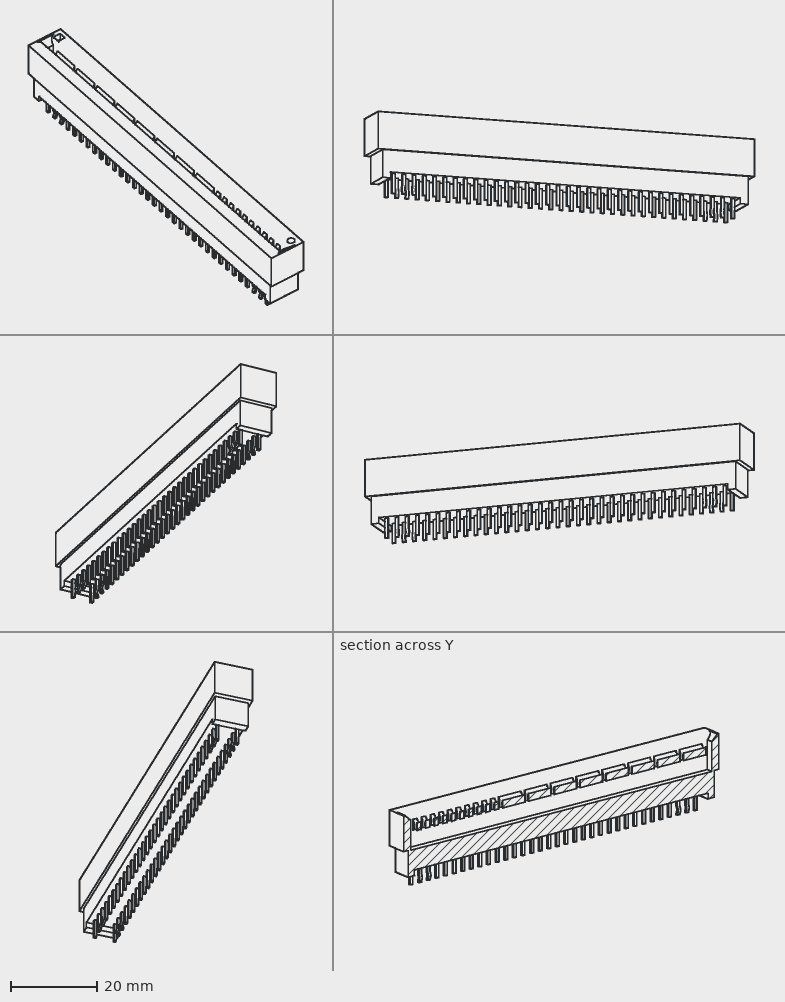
import cadquery as cq
import math

BODY_LENGTH = 93.0
BODY_WIDTH = 9.4
TOTAL_HEIGHT = 18.7
BLOCK_LENGTH = 90.4
BLOCK_WIDTH = 8.2
SHOULDER_Z = 9.9
FOOT_Z = 3.3
BLOCK_BASE_Z = 4.65
FOOT_LENGTH = 1.95

SLOT_LENGTH = 88.7
SLOT_WIDTH = 1.9
MOUTH_FLARE = 1.5
MOUTH_LENGTH = 92.0
SLOT_FLOOR_Z = SHOULDER_Z

SQUARE_KEY_SIZE = 1.9
ROUND_KEY_DIAMETER = 1.8
KEY_X = 44.3
KEY_Y = 2.7
KEY_DEPTH = 1.9

PINS_PER_ROW = 34
ROW_LENGTH = 83.85
PIN_PITCH = ROW_LENGTH / (PINS_PER_ROW - 1)
PIN_WIDTH = 0.7
PIN_THICKNESS = 0.6
ROW_OFFSET = 2.4
PIN_EMBED = 0.9
KINKED_PINS = (1, 2, PINS_PER_ROW - 3, PINS_PER_ROW - 2)
KINK_TOP_Z = 2.1
KINK_BOTTOM_Z = 0.2
KINK_SHIFT = 0.4
BEND_RADIUS = 0.7

GROUP_SIZE = 3
GROUP_COUNT = 8
CONTACT_WIDTH = 1.2
WIDE_CONTACT_WIDTH = 6.6
CONTACT_GAP = 0.7
CONTACT_RADIUS = 1.9
CONTACT_DROP = 0.65


def block(length, width, bottom, top, x=0, y=0):
    """Upright box centred on (x, y)."""
    height = top - bottom
    return cq.Workplane("XY").box(length, width, height, (True, True, False)).translate((x, y, bottom))


def pin_x(index):
    return index * PIN_PITCH - ROW_LENGTH / 2


def housing():
    body = block(BODY_LENGTH, BODY_WIDTH, SHOULDER_Z, TOTAL_HEIGHT)
    lower = block(BLOCK_LENGTH, BLOCK_WIDTH, FOOT_Z, SHOULDER_Z)
    foot_gap = block(BLOCK_LENGTH - 2 * FOOT_LENGTH, BLOCK_WIDTH, FOOT_Z, BLOCK_BASE_Z)
    return body.union(lower).cut(foot_gap)


def slot_mouth():
    """Flare whose long sides are rounded and whose ends are sloped."""
    half_slot = SLOT_WIDTH / 2
    half_mouth = half_slot + MOUTH_FLARE
    lip_z = TOTAL_HEIGHT - MOUTH_FLARE
    on_arc = MOUTH_FLARE * (1 - math.sqrt(0.5))
    rounded = (
        cq.Workplane("YZ")
        .moveTo(-half_slot, lip_z)
        .lineTo(half_slot, lip_z)
        .threePointArc((half_slot + on_arc, TOTAL_HEIGHT - on_arc), (half_mouth, TOTAL_HEIGHT))
        .lineTo(-half_mouth, TOTAL_HEIGHT)
        .threePointArc((-half_slot - on_arc, TOTAL_HEIGHT - on_arc), (-half_slot, lip_z))
        .close()
        .extrude(MOUTH_LENGTH / 2, both=True)
    )
    sloped = (
        cq.Workplane("XZ")
        .polyline([
            (-SLOT_LENGTH / 2, lip_z),
            (SLOT_LENGTH / 2, lip_z),
            (MOUTH_LENGTH / 2, TOTAL_HEIGHT),
            (-MOUTH_LENGTH / 2, TOTAL_HEIGHT),
        ])
        .close()
        .extrude(half_mouth, both=True)
    )
    return rounded.intersect(sloped)


def key_recesses():
    floor_z = TOTAL_HEIGHT - KEY_DEPTH
    square = block(SQUARE_KEY_SIZE, SQUARE_KEY_SIZE, floor_z, TOTAL_HEIGHT, -KEY_X, KEY_Y)
    round_hole = (
        cq.Workplane("XY")
        .circle(ROUND_KEY_DIAMETER / 2)
        .extrude(KEY_DEPTH)
        .translate((KEY_X, KEY_Y, floor_z))
    )
    return square.union(round_hole)


def contact_pair(x, width):
    """Facing pair of contacts, each a circular bulge out of its slot wall."""
    wall = SLOT_WIDTH / 2
    crest = CONTACT_GAP / 2
    bulge = wall - crest
    half_height = math.sqrt(CONTACT_RADIUS**2 - (CONTACT_RADIUS - bulge) ** 2)
    top_z = TOTAL_HEIGHT - MOUTH_FLARE - CONTACT_DROP
    bottom_z = top_z - 2 * half_height
    one_side = (
        cq.Workplane("YZ")
        .moveTo(wall, bottom_z)
        .threePointArc((crest, top_z - half_height), (wall, top_z))
        .close()
        .extrude(width / 2, both=True)
        .translate((x, 0, 0))
    )
    return [one_side.val(), one_side.mirror("XZ").val()]


def contacts():
    shapes = []
    for group in range(GROUP_COUNT):
        middle_pin = group * GROUP_SIZE + GROUP_SIZE // 2
        shapes += contact_pair(pin_x(middle_pin), WIDE_CONTACT_WIDTH)
    for index in range(GROUP_COUNT * GROUP_SIZE, PINS_PER_ROW):
        shapes += contact_pair(pin_x(index), CONTACT_WIDTH)
    return shapes


def straight_pin():
    return block(PIN_WIDTH, PIN_THICKNESS, 0, BLOCK_BASE_Z + PIN_EMBED, 0, ROW_OFFSET)


def kinked_pin():
    """Pin of the +Y row that bends inward and back near its tip, with rounded bends."""
    inner = ROW_OFFSET - PIN_THICKNESS / 2
    outer = ROW_OFFSET + PIN_THICKNESS / 2
    top_z = BLOCK_BASE_Z + PIN_EMBED
    middle_z = (KINK_TOP_Z + KINK_BOTTOM_Z) / 2
    pin = (
        cq.Workplane("YZ")
        .polyline([
            (inner, 0),
            (inner, KINK_BOTTOM_Z),
            (inner - KINK_SHIFT, middle_z),
            (inner, KINK_TOP_Z),
            (inner, top_z),
            (outer, top_z),
            (outer, KINK_TOP_Z),
            (outer - KINK_SHIFT, middle_z),
            (outer, KINK_BOTTOM_Z),
            (outer, 0),
        ])
        .close()
        .extrude(PIN_WIDTH / 2, both=True)
    )
    bends = pin.edges("|X and (not >Z) and (not <Z)")
    return bends.fillet(BEND_RADIUS)


def pins():
    shapes = []
    for index in range(PINS_PER_ROW):
        shape = kinked_pin() if index in KINKED_PINS else straight_pin()
        pin = shape.translate((pin_x(index), 0, 0))
        shapes += [pin.val(), pin.mirror("XZ").val()]
    return shapes


slot = block(SLOT_LENGTH, SLOT_WIDTH, SLOT_FLOOR_Z, TOTAL_HEIGHT)
shell = housing().cut(slot).cut(slot_mouth()).cut(key_recesses())
result = cq.Workplane(shell.val().fuse(*contacts(), *pins()))